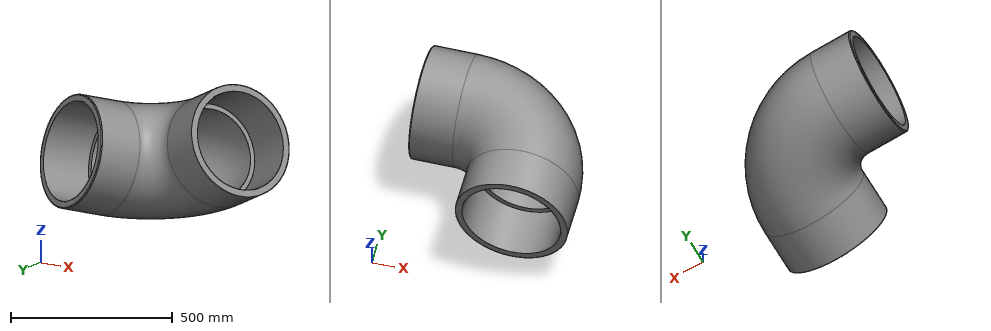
import cadquery as cq

overall_length = 559.0
outer_diameter = 358.0
socket_diameter = 315.0
bore_diameter = 284.0
collar_length = 140.0
socket_depth = 165.0
rim_chamfer = 3.0
bend_angle = 90

end_distance = overall_length - outer_diameter / 2

west_end = cq.Plane(origin=(-end_distance, 0, 0), xDir=(0, 1, 0), normal=(1, 0, 0))
south_end = cq.Plane(origin=(0, -end_distance, 0), xDir=(1, 0, 0), normal=(0, 1, 0))


def straight_bar(end_plane, diameter, length):
    """Round bar running inward from an open end."""
    return cq.Workplane(end_plane).circle(diameter / 2).extrude(length)


def quarter_bend(diameter, straight_length):
    """Quarter torus joining the inner faces of two straight bars of equal length."""
    bend_radius = end_distance - straight_length
    return (
        cq.Workplane(west_end)
        .workplane(offset=straight_length)
        .circle(diameter / 2)
        .revolve(bend_angle, (-bend_radius, 1), (-bend_radius, -1))
    )


def outer_body():
    """Solid elbow whose west rim alone has a chamfered outer edge."""
    west_collar = straight_bar(west_end, outer_diameter, collar_length)
    west_collar = west_collar.faces("<X").edges().chamfer(rim_chamfer)
    south_collar = straight_bar(south_end, outer_diameter, collar_length)
    return quarter_bend(outer_diameter, collar_length).union(west_collar).union(south_collar)


def inner_passage():
    """Curved bore that starts at the floors of the two wider pipe sockets."""
    passage = quarter_bend(bore_diameter, socket_depth)
    for end_plane in (west_end, south_end):
        passage = passage.union(straight_bar(end_plane, socket_diameter, socket_depth))
    return passage


result = outer_body().cut(inner_passage())